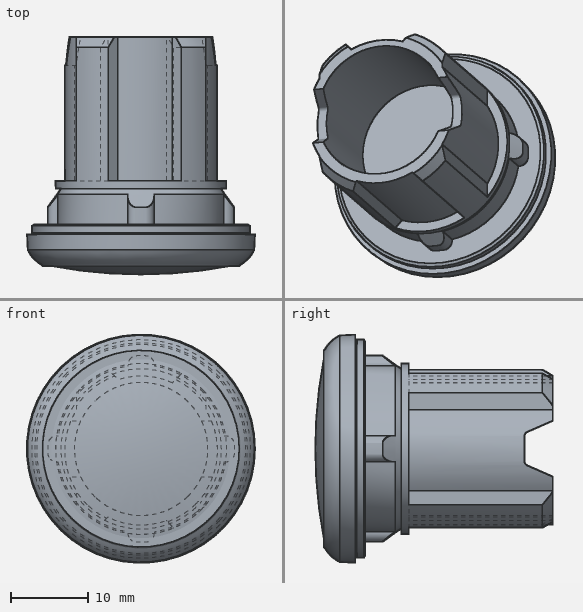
import cadquery as cq
import math


bezel_radius = 14.75
bezel_rim_radius = 14.65
bezel_rim_length = 2.0
bezel_front_length = 4.1
bezel_face_radius = 12.7
bezel_edge_break = 0.2
bezel_bulge = 0.2
lens_radius = 11.55
lens_rise = 1.1

gasket_gap = 0.2
gasket_gap_radius = 13.5
gasket_radius = 14.12
gasket_chamfer_length = 0.2
gasket_chamfer_depth = 0.4
gasket_rear = 1.3

neck_radius = 10.85
neck_rear = 5.15
cone_small_radius = 10.35
cone_rear = 5.9
lug_radius = 12.05
lug_width = 3.4
lug_corner_radius = 1.2
lug_full_height_rear = 3.5

barrel_radius = 11.04
collar_rear = 6.9
barrel_rear = 25.5
barrel_chamfer_length = 1.35
barrel_chamfer_depth = 1.02

core_offset_z = -0.2
end_gap_core_radius = 9.63
side_gap_core_radius = 9.85
side_wall_x = 8.35
end_gap_apex_x = 0.75
end_gap_apex_z = 5.25

bore_radius = 8.6

notch_depth = 3.65
notch_mouth_width = 7.2
notch_floor_width = 4.0
notch_corner_radius = 0.6


def make_turned_body():
    """Revolve the whole head, neck and barrel envelope about the Y axis."""
    front = -bezel_front_length
    shoulder = (bezel_rim_radius, -bezel_rim_length)
    face_edge = (bezel_face_radius + bezel_edge_break, front + bezel_edge_break)
    chord_x = face_edge[0] - shoulder[0]
    chord_y = face_edge[1] - shoulder[1]
    chord = math.hypot(chord_x, chord_y)
    bulge_point = (
        (shoulder[0] + face_edge[0]) / 2 - bezel_bulge * chord_y / chord,
        (shoulder[1] + face_edge[1]) / 2 + bezel_bulge * chord_x / chord,
    )
    dome_radius = (lens_radius**2 + lens_rise**2) / (2 * lens_rise)
    dome_mid_radius = lens_radius / 2
    dome_center_y = front - lens_rise + dome_radius
    dome_mid_y = dome_center_y - math.sqrt(dome_radius**2 - dome_mid_radius**2)
    profile = (
        cq.Workplane("XY")
        .moveTo(0, front - lens_rise)
        .threePointArc((dome_mid_radius, dome_mid_y), (lens_radius, front))
        .lineTo(bezel_face_radius, front)
        .lineTo(*face_edge)
        .threePointArc(bulge_point, shoulder)
        .lineTo(bezel_radius, 0)
        .lineTo(gasket_gap_radius, 0)
        .lineTo(gasket_gap_radius, gasket_gap)
        .lineTo(gasket_radius, gasket_gap)
        .lineTo(gasket_radius, gasket_rear - gasket_chamfer_length)
        .lineTo(gasket_radius - gasket_chamfer_depth, gasket_rear)
        .lineTo(neck_radius, gasket_rear)
        .lineTo(neck_radius, neck_rear)
        .lineTo(cone_small_radius, cone_rear)
        .lineTo(barrel_radius, cone_rear)
        .lineTo(barrel_radius, barrel_rear - barrel_chamfer_length)
        .lineTo(barrel_radius - barrel_chamfer_depth, barrel_rear)
        .lineTo(0, barrel_rear)
        .close()
    )
    return profile.revolve(360, (0, 0, 0), (0, 1, 0))


def make_lug_pair():
    """Bar across the neck, with rounded ends sloping to the neck at the rear."""
    bar = (
        cq.Workplane("XZ", origin=(0, gasket_rear, 0))
        .rect(2 * lug_radius, lug_width)
        .extrude(gasket_rear - neck_rear)
        .edges("|Y")
        .fillet(lug_corner_radius)
    )
    envelope = (
        cq.Workplane("XY")
        .moveTo(0, gasket_rear)
        .lineTo(lug_radius, gasket_rear)
        .lineTo(lug_radius, lug_full_height_rear)
        .lineTo(neck_radius, neck_rear)
        .lineTo(0, neck_rear)
        .close()
        .revolve(360, (0, 0, 0), (0, 1, 0))
    )
    return bar.intersect(envelope)


def extrude_along_barrel(section):
    """Extrude a section drawn at the collar's rear face to the rear end."""
    return section.extrude(collar_rear - barrel_rear)


def barrel_section():
    return cq.Workplane("XZ", origin=(0, collar_rear, 0))


def make_core(radius):
    return extrude_along_barrel(barrel_section().center(0, core_offset_z).circle(radius))


def make_end_gap(direction):
    """Right-angled V above (+1) or below (-1) the core."""
    reach = barrel_radius
    apex_x = direction * end_gap_apex_x
    apex_z = direction * end_gap_apex_z
    mouth_z = apex_z + direction * reach
    wedge = (
        barrel_section()
        .moveTo(apex_x, apex_z)
        .lineTo(apex_x + reach, mouth_z)
        .lineTo(apex_x - reach, mouth_z)
        .close()
    )
    return extrude_along_barrel(wedge).cut(make_core(end_gap_core_radius))


def make_side_gap(direction):
    """Flat-walled gap beyond the core on the +X (+1) or -X (-1) side."""
    center_x = direction * (side_wall_x + barrel_radius / 2)
    slab = barrel_section().center(center_x, 0).rect(barrel_radius, 2 * barrel_radius)
    return extrude_along_barrel(slab).cut(make_core(side_gap_core_radius))


def make_bore():
    return extrude_along_barrel(barrel_section().circle(bore_radius))


def make_notch():
    """Tapered notch running right through the barrel along X."""
    floor_y = barrel_rear - notch_depth
    return (
        cq.Workplane("YZ")
        .polyline(
            [
                (barrel_rear, -notch_mouth_width / 2),
                (floor_y, -notch_floor_width / 2),
                (floor_y, notch_floor_width / 2),
                (barrel_rear, notch_mouth_width / 2),
            ]
        )
        .close()
        .extrude(barrel_radius, both=True)
        .edges("|X and <Y")
        .fillet(notch_corner_radius)
    )


result = make_turned_body()
for lug_angle in (0, 90):
    result = result.union(make_lug_pair().rotate((0, 0, 0), (0, 1, 0), lug_angle))
for side in (1, -1):
    result = result.cut(make_end_gap(side))
    result = result.cut(make_side_gap(side))
result = result.cut(make_bore())
result = result.cut(make_notch())